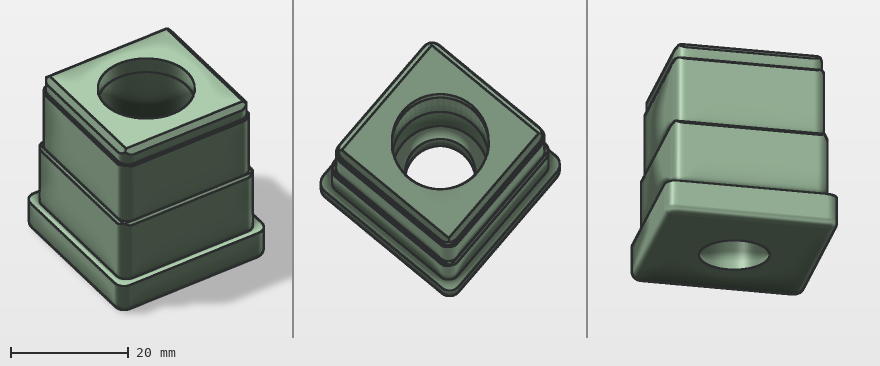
import cadquery as cq

total_height = 33.0
flange_width = 30.0
lower_width = 27.3
upper_width = 26.3
cap_width = 25.75

flange_height = 6.0
block_height = 12.0
cap_height = total_height - flange_height - 2 * block_height

corner_radius = 1.98
flange_bottom_fillet = 1.5
lower_bevel = (lower_width - upper_width) / 2
upper_bevel = (upper_width - cap_width) / 2
cap_bevel = 1.0
bevel_edge_break = 0.35

bore_diameter = 16.5
through_hole_diameter = 12.0

lower_base = flange_height
upper_base = lower_base + block_height
cap_base = upper_base + block_height


def square_block(width, height, base):
    """Sharp-edged square block centred on the Z axis, with its underside at z = base."""
    return cq.Workplane("XY").box(width, width, height, centered=(True, True, False)).translate((0, 0, base))


def drill(body, diameter):
    """Cut a round hole along the Z axis, right through a body."""
    cutter = cq.Workplane("XY").circle(diameter / 2).extrude(total_height)
    return body.cut(cutter).solids()


def beveled_block(width, height, base, bevel):
    """Square block with flat top bevels that run out over its rounded upright edges."""
    beveled = square_block(width, height, base).faces(">Z").edges().chamfer(bevel)
    rounded = square_block(width, height, base).edges("|Z").fillet(corner_radius)
    return beveled.intersect(rounded)


def make_flange():
    """Wide foot; its narrower hole leaves a ledge under the bore."""
    foot = square_block(flange_width, flange_height, 0).edges("|Z").fillet(corner_radius)
    foot = foot.faces("<Z").edges().fillet(flange_bottom_fillet)
    return drill(foot, through_hole_diameter)


def make_lower_block():
    """Widest block; the lower edge of its -X bevel is broken, around the adjoining corners too."""
    block = beveled_block(lower_width, block_height, lower_base, lower_bevel)
    bevel_foot = (-lower_width / 2, 0, upper_base - lower_bevel)
    block = block.edges(cq.selectors.NearestToPointSelector(bevel_foot))
    block = block.chamfer(bevel_edge_break)
    return drill(block, bore_diameter)


def make_upper_block():
    """Middle block, bevelled up to the foot of the cap."""
    return drill(beveled_block(upper_width, block_height, upper_base, upper_bevel), bore_diameter)


def make_cap():
    """Short lead-in cap with a deep bevel around its top."""
    return drill(beveled_block(cap_width, cap_height, cap_base, cap_bevel), bore_diameter)


flange = make_flange()
lower_block = make_lower_block()
upper_block = make_upper_block()
cap = make_cap()

result = cq.Compound.makeCompound([
    flange.val(),
    lower_block.val(),
    upper_block.val(),
    cap.val(),
])